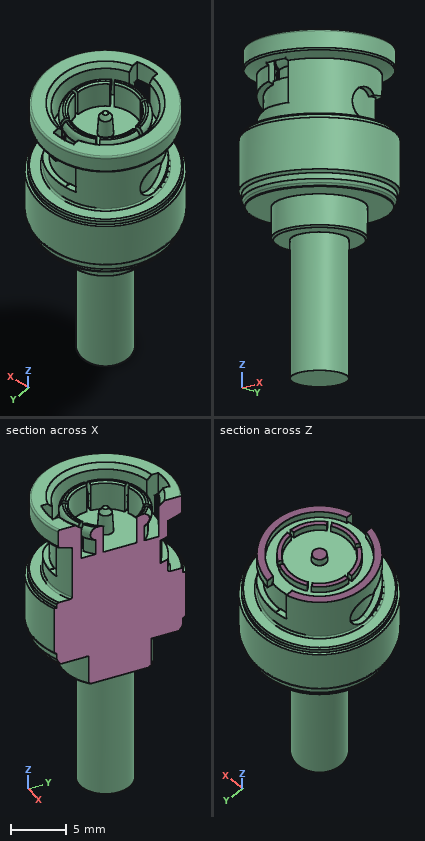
import cadquery as cq
import math


TOTAL_HEIGHT = 30.95
SLEEVE_BOTTOM = 13.03
COLLAR_BOTTOM = 16.12
COLLAR_TOP = 23.0
FLOOR_HEIGHT = 27.17

TUBE_RADIUS = 5.35 / 2
SLEEVE_RADIUS = 4.35
SLEEVE_CHAMFER = 0.2

GRIP_RADIUS = 7.3
LIP_RADIUS = 14.08 / 2
GRIP_BOTTOM = 17.6
GRIP_TOP = 22.47
GRIP_TAPER_HEIGHT = 0.28
LIP_CHAMFER = 0.15
FOOT_RADIUS = 6.75
FOOT_RIM_HEIGHT = 0.1
FOOT_EDGE_RADIUS = 6.93
FOOT_EDGE_HEIGHT = 0.35
FOOT_HEIGHT = 0.65

BARREL_RADIUS = 11.35 / 2
BARREL_FILLET = 0.2
FLANGE_RADIUS = 6.93
FLANGE_ROUNDING = 0.2
FLANGE_CHAMFER_WIDTH = 0.1
FLANGE_CHAMFER_HEIGHT = 0.2
FLANGE_EDGE_BOTTOM = 29.15
FLANGE_CONE_BOTTOM = 28.55

MOUTH_RADIUS = 9.8 / 2
MOUTH_CHAMFER = 0.45
CORE_RADIUS = 5.08

SLOT_WIDTH = 2.35
KEYWAY_RADIUS = 6.0
KEYWAY_BOTTOM = 24.57
RAMP_ANGLE = 15.0
LOCK_RADIUS = 1.6
LOCK_HEIGHT = 24.75

RING_TOP = 30.1
RING_INNER_RADIUS = 3.4
RING_OUTER_RADIUS = 3.87
RING_CHAMFER_WIDTH = 0.25
RING_CHAMFER_HEIGHT = 0.12
BEAD_RADIUS = 4.25
BEAD_BOTTOM = 28.7
RING_SLOT_WIDTH = 0.37
RING_SLOT_COUNT = 6

PIN_TOP = 29.68
PIN_BASE_RADIUS = 0.75
PIN_SHOULDER_RADIUS = 0.62
PIN_TIP_RADIUS = 0.28
PIN_TIP_HEIGHT = 0.5


def revolve_about_axis(profile):
    """Turn a closed (radius, height) outline about the Z axis."""
    return profile.close().revolve(360, (0, 0, 0), (0, 1, 0))


def cylinder(radius, bottom, top):
    return cq.Workplane("XY").workplane(offset=bottom).circle(radius).extrude(top - bottom)


def turned_body():
    arc_inset = 1 - math.sqrt(0.5)
    fillet_inset = BARREL_FILLET * arc_inset
    rounding_inset = FLANGE_ROUNDING * arc_inset
    profile = (
        cq.Workplane("XZ")
        .moveTo(0, 0)
        .lineTo(TUBE_RADIUS, 0)
        .lineTo(TUBE_RADIUS, SLEEVE_BOTTOM)
        .lineTo(SLEEVE_RADIUS - SLEEVE_CHAMFER, SLEEVE_BOTTOM)
        .lineTo(SLEEVE_RADIUS, SLEEVE_BOTTOM + SLEEVE_CHAMFER)
        .lineTo(SLEEVE_RADIUS, COLLAR_BOTTOM)
        .lineTo(FOOT_RADIUS, COLLAR_BOTTOM)
        .lineTo(FOOT_RADIUS, COLLAR_BOTTOM + FOOT_RIM_HEIGHT)
        .lineTo(FOOT_EDGE_RADIUS, COLLAR_BOTTOM + FOOT_EDGE_HEIGHT)
        .lineTo(LIP_RADIUS, COLLAR_BOTTOM + FOOT_HEIGHT)
        .lineTo(LIP_RADIUS, GRIP_BOTTOM - GRIP_TAPER_HEIGHT)
        .lineTo(GRIP_RADIUS, GRIP_BOTTOM)
        .lineTo(GRIP_RADIUS, GRIP_TOP)
        .lineTo(LIP_RADIUS, GRIP_TOP)
        .lineTo(LIP_RADIUS, COLLAR_TOP - LIP_CHAMFER)
        .lineTo(LIP_RADIUS - LIP_CHAMFER, COLLAR_TOP)
        .lineTo(BARREL_RADIUS + BARREL_FILLET, COLLAR_TOP)
        .threePointArc(
            (BARREL_RADIUS + fillet_inset, COLLAR_TOP + fillet_inset),
            (BARREL_RADIUS, COLLAR_TOP + BARREL_FILLET),
        )
        .lineTo(BARREL_RADIUS, FLANGE_CONE_BOTTOM)
        .lineTo(FLANGE_RADIUS - FLANGE_CHAMFER_WIDTH, FLANGE_EDGE_BOTTOM - FLANGE_CHAMFER_HEIGHT)
        .lineTo(FLANGE_RADIUS, FLANGE_EDGE_BOTTOM)
        .lineTo(FLANGE_RADIUS, TOTAL_HEIGHT - FLANGE_ROUNDING)
        .threePointArc(
            (FLANGE_RADIUS - rounding_inset, TOTAL_HEIGHT - rounding_inset),
            (FLANGE_RADIUS - FLANGE_ROUNDING, TOTAL_HEIGHT),
        )
        .lineTo(MOUTH_RADIUS + MOUTH_CHAMFER, TOTAL_HEIGHT)
        .lineTo(MOUTH_RADIUS, TOTAL_HEIGHT - MOUTH_CHAMFER)
        .lineTo(MOUTH_RADIUS, FLOOR_HEIGHT)
        .lineTo(0, FLOOR_HEIGHT)
    )
    return revolve_about_axis(profile)


def bayonet_slot():
    """Keyway on the -Y side and the sloping slot from it to the lock hole on the -X side."""
    keyway = (
        cq.Workplane("XY")
        .box(SLOT_WIDTH, KEYWAY_RADIUS, TOTAL_HEIGHT - KEYWAY_BOTTOM, centered=(True, False, False))
        .translate((0, -KEYWAY_RADIUS, KEYWAY_BOTTOM))
        .intersect(cylinder(KEYWAY_RADIUS, KEYWAY_BOTTOM, TOTAL_HEIGHT))
    )
    lock_hole = (
        cq.Workplane("YZ").center(0, LOCK_HEIGHT).circle(LOCK_RADIUS).extrude(-KEYWAY_RADIUS)
    )
    ramp = (
        cq.Workplane("YZ")
        .center(0, LOCK_HEIGHT)
        .transformed(rotate=(0, 0, -RAMP_ANGLE))
        .center(0, -LOCK_RADIUS)
        .rect(-2 * KEYWAY_RADIUS, SLOT_WIDTH, centered=False)
        .extrude(-KEYWAY_RADIUS)
    )
    ramp = ramp.intersect(cylinder(KEYWAY_RADIUS, 0, TOTAL_HEIGHT))
    core = cylinder(CORE_RADIUS, 0, FLOOR_HEIGHT)
    return keyway.union(lock_hole).union(ramp).cut(core)


def contact_ring():
    bead_middle = (RING_TOP + BEAD_BOTTOM) / 2
    ring = revolve_about_axis(
        cq.Workplane("XZ")
        .moveTo(RING_INNER_RADIUS, FLOOR_HEIGHT)
        .lineTo(RING_OUTER_RADIUS, FLOOR_HEIGHT)
        .lineTo(RING_OUTER_RADIUS, BEAD_BOTTOM)
        .threePointArc((BEAD_RADIUS, bead_middle), (RING_OUTER_RADIUS, RING_TOP))
        .lineTo(RING_INNER_RADIUS + RING_CHAMFER_WIDTH, RING_TOP)
        .lineTo(RING_INNER_RADIUS, RING_TOP - RING_CHAMFER_HEIGHT)
    )
    slot = (
        cq.Workplane("XY")
        .box(BEAD_RADIUS, RING_SLOT_WIDTH, RING_TOP - FLOOR_HEIGHT, centered=(False, True, False))
        .translate((0, 0, FLOOR_HEIGHT))
    )
    for index in range(RING_SLOT_COUNT):
        ring = ring.cut(slot.rotate((0, 0, 0), (0, 0, 1), index * 360 / RING_SLOT_COUNT))
    return ring


def centre_pin():
    return revolve_about_axis(
        cq.Workplane("XZ")
        .moveTo(0, FLOOR_HEIGHT)
        .lineTo(PIN_BASE_RADIUS, FLOOR_HEIGHT)
        .lineTo(PIN_SHOULDER_RADIUS, PIN_TOP - PIN_TIP_HEIGHT)
        .lineTo(PIN_TIP_RADIUS, PIN_TOP)
        .lineTo(0, PIN_TOP)
    )


result = turned_body()
for half_turn in (0, 180):
    result = result.cut(bayonet_slot().rotate((0, 0, 0), (0, 0, 1), half_turn))
result = result.union(contact_ring()).union(centre_pin())